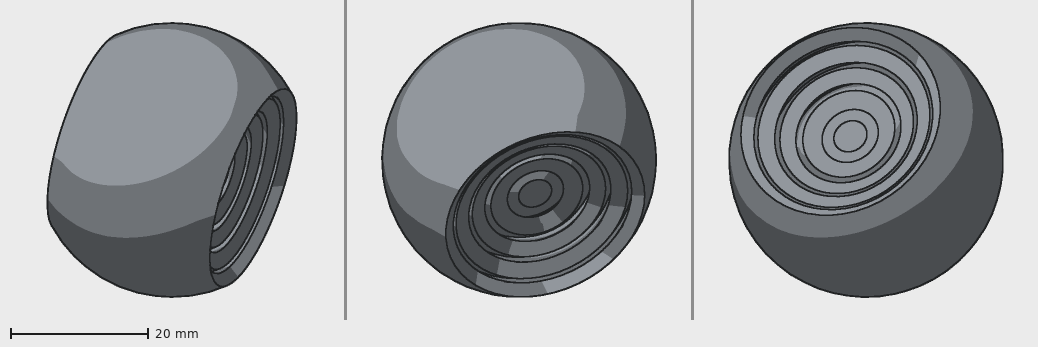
import cadquery as cq
import math


BALL_RADIUS = 20.0

RING_SIZES = [
    (BALL_RADIUS, 15.15, 17.9, 13.6),
    (17.3, 13.1, 14.95, 10.85),
    (14.2, 10.15, 12.1, 8.0),
    (11.3, 7.0, 9.2, 4.3),
]
CORE_RADIUS = 8.4
CORE_FLAT_RADIUS = 2.5


def rim_height(sphere_radius, rim_radius):
    """Distance along X from the centre to a circle of rim_radius on a sphere."""
    return math.sqrt(sphere_radius**2 - rim_radius**2)


def revolve_about_x(profile):
    return profile.revolve(360, (0, 0, 0), (1, 0, 0))


def make_ring(outer_sphere, outer_rim, inner_sphere, inner_rim):
    """Spherical shell open at both X ends, with a straight cone across each rim."""
    outer_x = rim_height(outer_sphere, outer_rim)
    inner_x = rim_height(inner_sphere, inner_rim)
    profile = (
        cq.Workplane("XY")
        .moveTo(-outer_x, outer_rim)
        .threePointArc((0, outer_sphere), (outer_x, outer_rim))
        .lineTo(inner_x, inner_rim)
        .threePointArc((0, inner_sphere), (-inner_x, inner_rim))
        .close()
    )
    return revolve_about_x(profile)


def make_core():
    """Solid ball with a flat at each X end."""
    flat_x = rim_height(CORE_RADIUS, CORE_FLAT_RADIUS)
    profile = (
        cq.Workplane("XY")
        .moveTo(-flat_x, 0)
        .lineTo(-flat_x, CORE_FLAT_RADIUS)
        .threePointArc((0, CORE_RADIUS), (flat_x, CORE_FLAT_RADIUS))
        .lineTo(flat_x, 0)
        .close()
    )
    return revolve_about_x(profile)


rings = [make_ring(*sizes) for sizes in RING_SIZES]
core = make_core()

result = cq.Compound.makeCompound([*[ring.val() for ring in rings], core.val()])